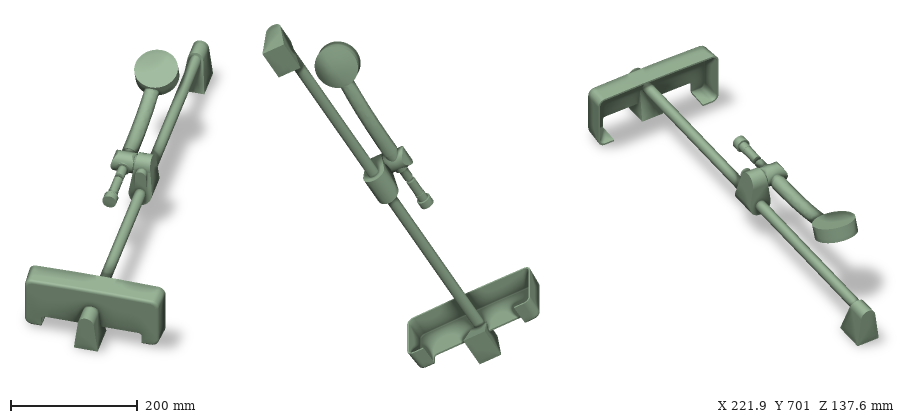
import cadquery as cq
import math


TOTAL_LENGTH = 701.0
WALL_BAR_END = TOTAL_LENGTH / 2
RAIL_DIAMETER = 18.2
RAIL_HEIGHT = 50.5
BRACKET_ROUND_RADIUS = 13.0
BRACKET_BASE_HALF_WIDTH = 19.5
BRACKET_BASE_LENGTH = 53.0
BRACKET_TOP_LENGTH = 31.0
BRACKET_TOP = RAIL_HEIGHT + BRACKET_ROUND_RADIUS

SLIDER_ROUND_RADIUS = 19.0
SLIDER_BOTTOM = RAIL_HEIGHT - SLIDER_ROUND_RADIUS
SLIDER_TOP = 106.0
SLIDER_TOP_HALF_WIDTH = 11.6
SLIDER_HEAD_RADIUS = 18.0
SLIDER_HEAD_Y = 8.4
SLIDER_HEAD_Z = SLIDER_TOP - SLIDER_HEAD_RADIUS
SLIDER_FRONT_Y = -24.3
SLIDER_BACK_Y = SLIDER_HEAD_Y + SLIDER_HEAD_RADIUS
ARCH_RADIUS = 17.8 / 2
ARCH_CENTRE_Z = 85.0
ARCH_FRONT_Y = -19.0

HANDSET_X = -31.7
HANDSET_Z = 84.5
HOLDER_RADIUS = 16.4
HOLDER_Z = 87.0
HOLDER_END_RADIUS = 20.0
HOLDER_INNER_X = -15.5
HOLDER_NECK_RADIUS = 14.0

TRAY_WIDTH = 221.91
TRAY_HEIGHT = 93.5
TRAY_CROWN = 1.8
TRAY_BACK_Y = -280.0
TRAY_FRONT_Y = -317.5
TRAY_DEPTH = TRAY_BACK_Y - TRAY_FRONT_Y
TRAY_DRAFT_ANGLE = 3.0
TRAY_CORNER_RADIUS = 12.0
TRAY_FRONT_FILLET = 5.0
TRAY_WALL = 3.0
NOTCH_WIDTH = 164.0
NOTCH_HEIGHT = 24.0
NOTCH_CORNER_RADIUS = 5.0

COLLAR_DIAMETER = 22.95
COLLAR_BACK_Y = 29.5
HANDLE_LOWER_DIAMETER = 25.2
HANDLE_UPPER_WIDTH = 24.0
HANDLE_UPPER_HEIGHT = 21.0
HANDLE_BEND_Y = 57.0
HANDLE_BEND_RADIUS = 405.0
HANDLE_BEND_ANGLE = 16.0
HEAD_DIAMETER = 69.4
HEAD_THICKNESS = 28.0
HEAD_DOME = 4.0
HEAD_TILT = 20.0
HEAD_TOP = 137.64
HEAD_FACE_Y = 195.1
HEAD_FACE_Z = HEAD_TOP - HEAD_DIAMETER / 2 * math.sin(math.radians(HEAD_TILT))

HOSE_DIAMETER = 15.0
HOSE_STUB_TOP_Y = -28.0
HOSE_STUB_BOTTOM_Y = -31.0
HOSE_END_START_Y = -35.5
FERRULE_START_Y = -64.4
FERRULE_DIAMETER = 16.1
NUT_START_Y = -77.0
NUT_RIM_LENGTH = 2.2
NUT_RIM_DIAMETER = 22.95
NUT_DIAMETER = 22.6
NUT_END_Y = -90.0


def tangent_point(x, z, centre_z, radius):
    """Where the line from (x, z) touches the right side of a circle centred on X = 0."""
    towards = math.atan2(z - centre_z, x)
    swing = math.acos(radius / math.hypot(x, z - centre_z))
    angle = towards - math.copysign(swing, towards)
    return radius * math.cos(angle), centre_z + radius * math.sin(angle)


def rounded_wedge(half_width, flat_z, round_radius, y_low, y_high):
    """Prism along Y: a round about the rail with tangent flanks that end at a flat side."""
    tangent_x, tangent_z = tangent_point(half_width, flat_z, RAIL_HEIGHT, round_radius)
    far_z = RAIL_HEIGHT + math.copysign(round_radius, RAIL_HEIGHT - flat_z)
    return (
        cq.Workplane("XZ", origin=(0, y_high, 0))
        .moveTo(-half_width, flat_z)
        .lineTo(half_width, flat_z)
        .lineTo(tangent_x, tangent_z)
        .threePointArc((0, far_z), (-tangent_x, tangent_z))
        .close()
        .extrude(y_high - y_low)
    )


def rod(diameter, y_low, y_high, x, z):
    """Cylinder along Y."""
    return cq.Workplane("XZ", origin=(x, y_high, z)).circle(diameter / 2).extrude(y_high - y_low)


def make_bracket(side):
    """Wall bracket at the end of the rail on the given side (+1 or -1 along Y)."""
    outer_y = side * WALL_BAR_END
    base_y = side * (WALL_BAR_END - BRACKET_BASE_LENGTH)
    top_y = side * (WALL_BAR_END - BRACKET_TOP_LENGTH)
    wedge = rounded_wedge(
        BRACKET_BASE_HALF_WIDTH, 0, BRACKET_ROUND_RADIUS, min(outer_y, base_y), max(outer_y, base_y)
    )
    side_outline = (
        cq.Workplane("YZ")
        .polyline([(outer_y, 0), (base_y, 0), (top_y, BRACKET_TOP), (outer_y, BRACKET_TOP)])
        .close()
        .extrude(BRACKET_BASE_HALF_WIDTH, both=True)
    )
    return wedge.intersect(side_outline)


def make_slider_block():
    """Clamp around the rail, with a rounded head and a sloping front."""
    wedge = rounded_wedge(
        SLIDER_TOP_HALF_WIDTH, SLIDER_TOP, SLIDER_ROUND_RADIUS, SLIDER_FRONT_Y, SLIDER_BACK_Y
    )
    side_outline = (
        cq.Workplane("YZ")
        .moveTo(SLIDER_FRONT_Y, SLIDER_BOTTOM)
        .lineTo(SLIDER_BACK_Y, SLIDER_BOTTOM)
        .lineTo(SLIDER_BACK_Y, SLIDER_HEAD_Z)
        .threePointArc((SLIDER_HEAD_Y, SLIDER_TOP), (SLIDER_HEAD_Y - SLIDER_HEAD_RADIUS, SLIDER_HEAD_Z))
        .close()
        .extrude(SLIDER_ROUND_RADIUS, both=True)
    )
    return wedge.intersect(side_outline)


def make_slider_arch():
    """Upright arch that stands out of the sloping front of the slider."""
    return (
        cq.Workplane("XZ", origin=(0, SLIDER_HEAD_Y, 0))
        .moveTo(-ARCH_RADIUS, RAIL_HEIGHT)
        .lineTo(ARCH_RADIUS, RAIL_HEIGHT)
        .lineTo(ARCH_RADIUS, ARCH_CENTRE_Z)
        .threePointArc((0, ARCH_CENTRE_Z + ARCH_RADIUS), (-ARCH_RADIUS, ARCH_CENTRE_Z))
        .close()
        .extrude(SLIDER_HEAD_Y - ARCH_FRONT_Y)
    )


def make_holder():
    """Barrel along X whose free end is rounded about the hand shower's axis."""
    outer_x = HANDSET_X - HOLDER_END_RADIUS
    barrel = (
        cq.Workplane("YZ", origin=(outer_x, SLIDER_HEAD_Y, HOLDER_Z))
        .circle(HOLDER_RADIUS)
        .extrude(HOLDER_INNER_X - outer_x)
    )
    barrel_back_y = SLIDER_HEAD_Y + HOLDER_RADIUS
    barrel_front_y = SLIDER_HEAD_Y - HOLDER_RADIUS
    end_round = rod(2 * HOLDER_END_RADIUS, barrel_front_y, barrel_back_y, HANDSET_X, HOLDER_Z)
    neck = (
        cq.Workplane("YZ", origin=(HOLDER_INNER_X, SLIDER_HEAD_Y, HOLDER_Z))
        .circle(HOLDER_NECK_RADIUS)
        .extrude(-HOLDER_INNER_X)
    )
    socket = rod(COLLAR_DIAMETER, barrel_front_y, barrel_back_y, HANDSET_X, HANDSET_Z)
    return barrel.intersect(end_round).union(neck).cut(socket)


def make_wall_bar():
    """Rail with its two brackets, the slider and the holder."""
    rail_end = WALL_BAR_END - BRACKET_TOP_LENGTH / 2
    bar = rod(RAIL_DIAMETER, -rail_end, rail_end, 0, RAIL_HEIGHT)
    for side in (-1, 1):
        bar = bar.union(make_bracket(side))
    return bar.union(make_slider_block()).union(make_slider_arch()).union(make_holder())


def make_tray(wall_bar):
    """Crowned hood, open to the back, with a wide notch for the wall side."""
    half_width = TRAY_WIDTH / 2
    hood = (
        cq.Workplane("XZ", origin=(0, TRAY_BACK_Y, 0))
        .moveTo(-half_width, 0)
        .lineTo(half_width, 0)
        .lineTo(half_width, TRAY_HEIGHT)
        .threePointArc((0, TRAY_HEIGHT + TRAY_CROWN), (-half_width, TRAY_HEIGHT))
        .close()
        .extrude(TRAY_DEPTH, taper=TRAY_DRAFT_ANGLE)
        .edges("not(<Y or >Y)")
        .fillet(TRAY_CORNER_RADIUS)
        .faces("<Y")
        .edges()
        .fillet(TRAY_FRONT_FILLET)
        .faces(">Y")
        .shell(-TRAY_WALL)
    )
    notch = (
        cq.Workplane("XY")
        .box(NOTCH_WIDTH, 3 * TRAY_DEPTH, 2 * NOTCH_HEIGHT)
        .edges("|Y and >Z")
        .fillet(NOTCH_CORNER_RADIUS)
        .translate((0, TRAY_FRONT_Y, 0))
    )
    return hood.cut(notch).cut(wall_bar)


def make_head():
    """Tilted shower head with a flat face and a slightly domed underside."""
    radius = HEAD_DIAMETER / 2
    tilt = math.radians(HEAD_TILT)
    face = cq.Plane(
        origin=(HANDSET_X, HEAD_FACE_Y, HEAD_FACE_Z),
        xDir=(1, 0, 0),
        normal=(0, -math.cos(tilt), -math.sin(tilt)),
    )
    rim_depth = HEAD_THICKNESS - HEAD_DOME
    dome_radius = (radius**2 + HEAD_DOME**2) / (2 * HEAD_DOME)
    dome_mid_x = radius / 2
    dome_mid_depth = HEAD_THICKNESS - dome_radius + math.sqrt(dome_radius**2 - dome_mid_x**2)
    return (
        cq.Workplane(face)
        .lineTo(radius, 0)
        .lineTo(radius, -rim_depth)
        .threePointArc((dome_mid_x, -dome_mid_depth), (0, -HEAD_THICKNESS))
        .close()
        .revolve(360, (0, 0), (0, 1))
    )


def make_handle():
    """Tapering handle, level at the collar and curving up towards the head."""
    bend = math.radians(HANDLE_BEND_ANGLE)
    end_y = HANDLE_BEND_Y + HANDLE_BEND_RADIUS * math.sin(bend)
    end_z = HANDSET_Z + HANDLE_BEND_RADIUS * (1 - math.cos(bend))
    path = (
        cq.Workplane("YZ", origin=(HANDSET_X, 0, 0))
        .moveTo(COLLAR_BACK_Y, HANDSET_Z)
        .spline(
            [(end_y, end_z)],
            tangents=[(1, 0), (math.cos(bend), math.sin(bend))],
            includeCurrent=True,
        )
    )
    upper_end = cq.Plane(
        origin=(HANDSET_X, end_y, end_z),
        xDir=(1, 0, 0),
        normal=(0, -math.cos(bend), -math.sin(bend)),
    )
    lower_end = cq.Workplane("XZ", origin=(HANDSET_X, COLLAR_BACK_Y, HANDSET_Z))
    lower = lower_end.circle(HANDLE_LOWER_DIAMETER / 2)
    upper = cq.Workplane(upper_end).ellipse(HANDLE_UPPER_WIDTH / 2, HANDLE_UPPER_HEIGHT / 2)
    lower.ctx.pendingWires.extend(upper.ctx.pendingWires)
    return lower.sweep(path, multisection=True)


def make_handset():
    """Hand shower with its collar in the holder and a slanted stub of hose below it."""
    collar_front_y = SLIDER_HEAD_Y - HOLDER_RADIUS
    collar = rod(COLLAR_DIAMETER, collar_front_y, COLLAR_BACK_Y, HANDSET_X, HANDSET_Z)
    radius = HOSE_DIAMETER / 2
    stub = rod(HOSE_DIAMETER, HOSE_STUB_BOTTOM_Y, collar_front_y, HANDSET_X, HANDSET_Z)
    slanted_end = (
        cq.Workplane("YZ", origin=(HANDSET_X, 0, HANDSET_Z))
        .polyline([(HOSE_STUB_BOTTOM_Y, -radius), (HOSE_STUB_TOP_Y, radius), (HOSE_STUB_BOTTOM_Y, radius)])
        .close()
        .extrude(radius, both=True)
    )
    return make_handle().union(make_head()).union(collar).union(stub.cut(slanted_end))


def make_hose_end():
    """Lower end of the hose with its ferrule and connecting nut."""
    rim_end_y = NUT_START_Y - NUT_RIM_LENGTH
    hose = rod(HOSE_DIAMETER, FERRULE_START_Y, HOSE_END_START_Y, HANDSET_X, HANDSET_Z)
    ferrule = rod(FERRULE_DIAMETER, NUT_START_Y, FERRULE_START_Y, HANDSET_X, HANDSET_Z)
    rim = rod(NUT_RIM_DIAMETER, rim_end_y, NUT_START_Y, HANDSET_X, HANDSET_Z)
    nut = rod(NUT_DIAMETER, NUT_END_Y, rim_end_y, HANDSET_X, HANDSET_Z)
    return hose.union(ferrule).union(rim).union(nut)


wall_bar = make_wall_bar()
tray = make_tray(wall_bar)
handset = make_handset()
hose_end = make_hose_end()
bodies = [wall_bar, tray, handset, hose_end]
result = cq.Compound.makeCompound([body.solids().val() for body in bodies])